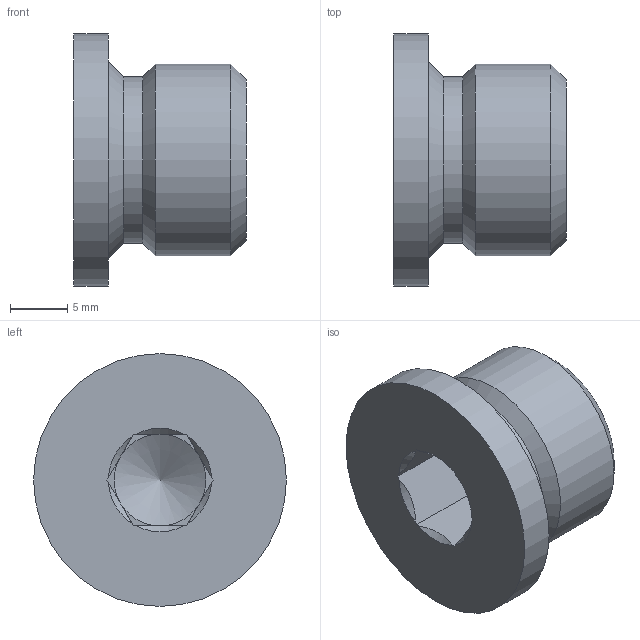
import cadquery as cq
import math

total_length = 15.0
flange_diameter = 22.0
flange_thickness = 3.0
thread_diameter = 16.66
relief_diameter = 14.5
relief_start = 4.33
relief_end = 6.0
end_chamfer = 1.34

socket_sides = 6
socket_across_flats = 8.0
socket_depth = 7.5
drill_tip_angle = 120.0
countersink_diameter = 9.0
countersink_angle = 90.0

flange_radius = flange_diameter / 2
thread_radius = thread_diameter / 2
relief_radius = relief_diameter / 2
collar_radius = relief_radius + (relief_start - flange_thickness)
thread_start = relief_end + (thread_radius - relief_radius)


def revolve_about_x(points):
    """Turn a closed (x, radius) outline into a solid about the X axis."""
    return cq.Workplane("XZ").polyline(points).close().revolve(360, (0, 0, 0), (1, 0, 0))


def cone_height(radius, included_angle):
    return radius / math.tan(math.radians(included_angle / 2))


def make_body():
    return revolve_about_x([
        (0, 0),
        (0, flange_radius),
        (flange_thickness, flange_radius),
        (flange_thickness, collar_radius),
        (relief_start, relief_radius),
        (relief_end, relief_radius),
        (thread_start, thread_radius),
        (total_length - end_chamfer, thread_radius),
        (total_length, thread_radius - end_chamfer),
        (total_length, 0),
    ])


def make_hex_socket():
    """Hexagonal prism with two corners on the Y axis."""
    across_corners = socket_across_flats / math.cos(math.pi / socket_sides)
    return cq.Workplane("YZ").polygon(socket_sides, across_corners).extrude(socket_depth)


def make_drill_tip():
    """Conical bottom left by the pilot drill, as wide as the flats."""
    radius = socket_across_flats / 2
    tip = socket_depth + cone_height(radius, drill_tip_angle)
    return revolve_about_x([(socket_depth, 0), (socket_depth, radius), (tip, 0)])


def make_countersink():
    """Cone that breaks the socket corners at the flange face."""
    radius = countersink_diameter / 2
    return revolve_about_x([(0, 0), (0, radius), (cone_height(radius, countersink_angle), 0)])


result = make_body().cut(make_hex_socket()).cut(make_drill_tip()).cut(make_countersink())